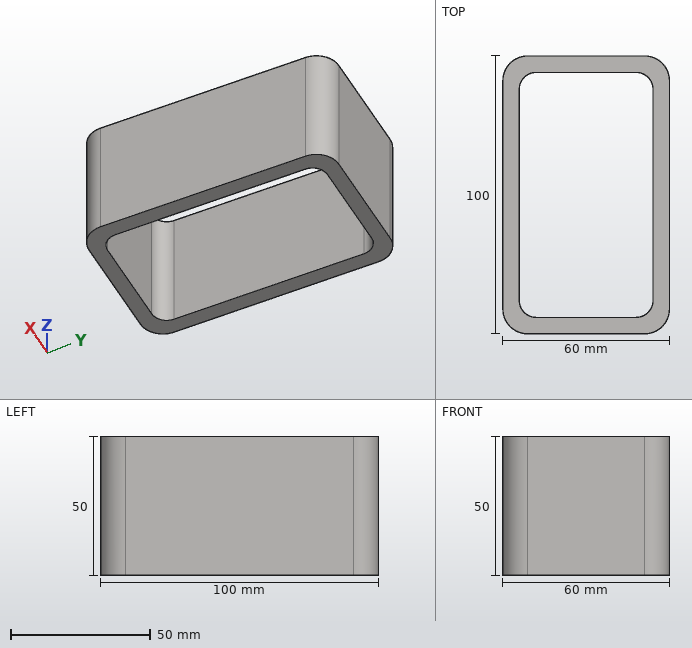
import cadquery as cq

width = 60.0
depth = 100.0
height = 50.0
wall = 6.0
outer_corner_radius = 1.5 * wall
inner_corner_radius = wall


def rounded_block(size_x, size_y, corner_radius):
    """Full-height block with rounded vertical edges, centred on the Z axis."""
    block = cq.Workplane("XY").rect(size_x, size_y).extrude(height)
    return block.edges("|Z").fillet(corner_radius)


outer = rounded_block(width, depth, outer_corner_radius)
bore = rounded_block(width - 2 * wall, depth - 2 * wall, inner_corner_radius)

result = outer.cut(bore)